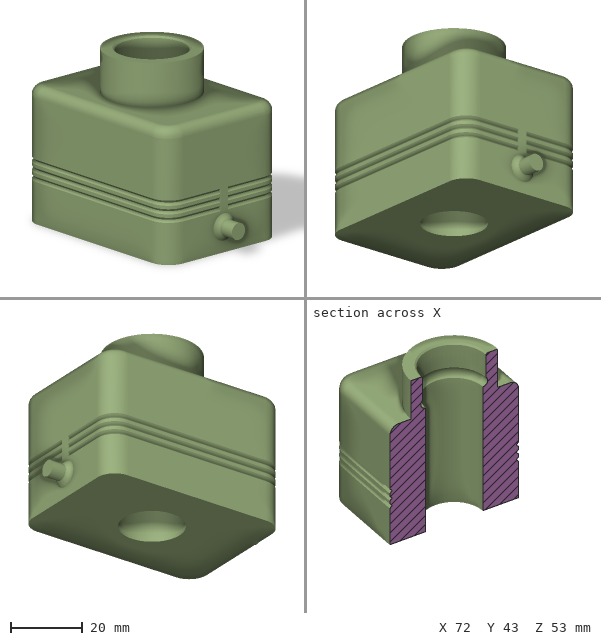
import cadquery as cq
import math

TOTAL_LENGTH = 72.0
TOTAL_HEIGHT = 53.0

BODY_LENGTH = 60.0
BODY_WIDTH = 43.0
BODY_HEIGHT = 40.0
CORNER_RADIUS = 6.0
TOP_FILLET = 3.0

COLLAR_DIAMETER = 29.0
BORE_DIAMETER = 21.0
BORE_CHAMFER = 0.5
HOLE_DIAMETER = 19.0
SEAT_DEPTH = 11.0
SEAT_ROUND_RADIUS = 1.6

PEG_DIAMETER = 5.0
PEG_BASE_DIAMETER = 8.0
PEG_BASE_HEIGHT = (PEG_BASE_DIAMETER - PEG_DIAMETER) / 2
PEG_Z = 7.5
PEG_EMBED = 0.7

GROOVE_COUNT = 3
GROOVE_PITCH = 2.5
LOWEST_GROOVE_Z = 13.1
GROOVE_WIDTH = 1.5
GROOVE_DEPTH = GROOVE_WIDTH / 2
GROOVE_GAP = 2.8


def make_body():
    return (
        cq.Workplane("XY")
        .box(BODY_LENGTH, BODY_WIDTH, BODY_HEIGHT, centered=(True, True, False))
        .edges("|Z")
        .fillet(CORNER_RADIUS)
        .faces(">Z")
        .edges()
        .fillet(TOP_FILLET)
    )


def make_groove(center_z):
    """Ring with a V section, swept around the body outline and cut away above the pegs."""
    path = (
        cq.Workplane("XY", origin=(0, 0, center_z))
        .rect(BODY_LENGTH, BODY_WIDTH)
        .extrude(GROOVE_WIDTH)
        .edges("|Z")
        .fillet(CORNER_RADIUS)
        .faces("<Z")
        .wires()
    )
    half_width = GROOVE_WIDTH / 2
    front_y = -BODY_WIDTH / 2
    ring = (
        cq.Workplane("YZ", origin=(0, front_y, center_z))
        .polyline([(0, -half_width), (GROOVE_DEPTH, 0), (0, half_width)])
        .close()
        .sweep(path)
    )
    gap = cq.Workplane("XY", origin=(0, 0, center_z)).box(TOTAL_LENGTH, GROOVE_GAP, 2 * GROOVE_WIDTH)
    return ring.cut(gap)


def make_peg():
    """Peg with a conical base, pointing along +X from the body's end face."""
    base_x = BODY_LENGTH / 2
    tip_x = TOTAL_LENGTH / 2
    return (
        cq.Workplane("XZ")
        .polyline([
            (base_x - PEG_EMBED, 0),
            (base_x - PEG_EMBED, PEG_BASE_DIAMETER / 2),
            (base_x, PEG_BASE_DIAMETER / 2),
            (base_x + PEG_BASE_HEIGHT, PEG_DIAMETER / 2),
            (tip_x, PEG_DIAMETER / 2),
            (tip_x, 0),
        ])
        .close()
        .revolve(360, (0, 0), (1, 0))
        .translate((0, 0, PEG_Z))
    )


def make_collar():
    collar_height = TOTAL_HEIGHT - BODY_HEIGHT
    return cq.Workplane("XY", origin=(0, 0, BODY_HEIGHT)).circle(COLLAR_DIAMETER / 2).extrude(collar_height)


def make_bore():
    """Chamfered bore in the collar, ending in a rounded undercut seat above the cable hole."""
    hole_radius = HOLE_DIAMETER / 2
    bore_radius = BORE_DIAMETER / 2
    seat_z = TOTAL_HEIGHT - SEAT_DEPTH
    round_center_z = seat_z + SEAT_ROUND_RADIUS
    wall_offset = bore_radius - hole_radius
    wall_bottom_z = round_center_z + math.sqrt(SEAT_ROUND_RADIUS**2 - wall_offset**2)
    return (
        cq.Workplane("XZ")
        .lineTo(hole_radius, 0)
        .lineTo(hole_radius, seat_z)
        .threePointArc(
            (hole_radius + SEAT_ROUND_RADIUS, round_center_z),
            (bore_radius, wall_bottom_z),
        )
        .lineTo(bore_radius, TOTAL_HEIGHT - BORE_CHAMFER)
        .lineTo(bore_radius + BORE_CHAMFER, TOTAL_HEIGHT)
        .lineTo(0, TOTAL_HEIGHT)
        .close()
        .revolve(360, (0, 0), (0, 1))
    )


peg = make_peg()
hood = make_body().union(make_collar())
for groove_index in range(GROOVE_COUNT):
    hood = hood.cut(make_groove(LOWEST_GROOVE_Z + groove_index * GROOVE_PITCH))
result = hood.union(peg).union(peg.mirror("YZ")).cut(make_bore())